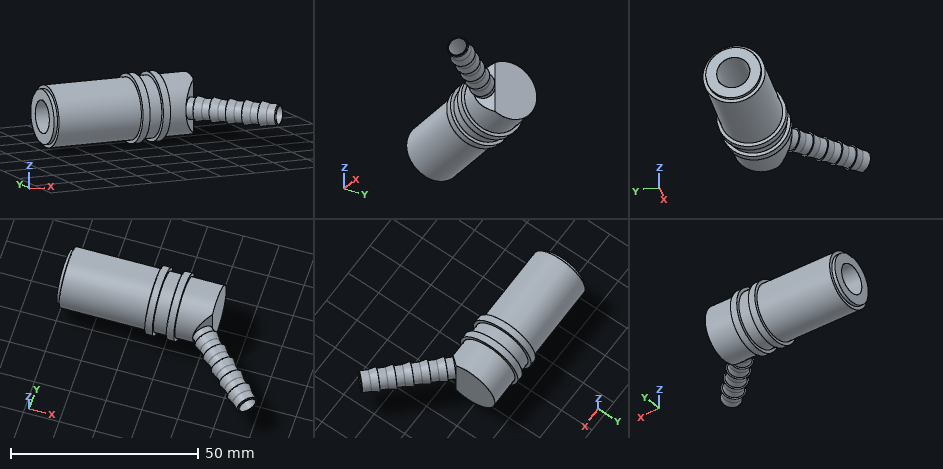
import cadquery as cq
import math

housing_length = 42.5
housing_diameter = 17.0
nose_diameter = 15.0
nose_length = 1.0

socket_diameter = 9.0
socket_depth = 25.0
passage_diameter = 5.0

barb_angle = 45.0
stem_diameter = 6.0
stem_length = 25.5
tip_chamfer = 0.25
tooth_diameter = 7.0
tooth_count = 5
tooth_pitch = 4.6
tooth_length = tooth_pitch / 2
first_tooth = 2.2

band_diameter = 19.0
band_width = 2.1
first_band = 25.2
band_pitch = 6.0
band_count = 2

housing_radius = housing_diameter / 2
barb_direction = cq.Vector(
    math.cos(math.radians(barb_angle)),
    -math.sin(math.radians(barb_angle)),
    0,
)

flat_run_x = stem_diameter * math.sin(math.radians(barb_angle))
flat_run_y = stem_diameter * math.cos(math.radians(barb_angle))
barb_base = cq.Vector(housing_length - flat_run_x / 2, -housing_radius + flat_run_y / 2, 0)

base_to_elbow = barb_base.y / barb_direction.y
elbow = barb_base - barb_direction * base_to_elbow


def x_cylinder(diameter, start, length):
    """Cylinder on the housing axis."""
    return cq.Workplane("YZ", origin=(start, 0, 0)).circle(diameter / 2).extrude(length)


def along_barb(origin):
    """Workplane square to the barb axis, its normal pointing to the barb tip."""
    return cq.Workplane(cq.Plane(origin=origin, xDir=(0, 0, 1), normal=barb_direction))


def make_shell():
    """Outer shape of the housing: nose, barrel and angled corner flat."""
    nose = x_cylinder(nose_diameter, 0, nose_length)
    barrel = x_cylinder(housing_diameter, nose_length, housing_length - nose_length)
    corner = (
        cq.Workplane("XY")
        .moveTo(housing_length, -housing_radius)
        .lineTo(housing_length, -housing_radius + flat_run_y)
        .lineTo(housing_length - flat_run_x, -housing_radius)
        .close()
        .extrude(housing_radius, both=True)
    )
    return nose.union(barrel).cut(corner)


def make_barb():
    """Stem with a row of teeth, each a sharp shoulder tapering towards the chamfered tip."""
    stem = along_barb(barb_base).circle(stem_diameter / 2).extrude(stem_length)
    tip_face = cq.NearestToPointSelector((barb_base + barb_direction * stem_length).toTuple())
    barb = stem.faces(tip_face).edges().chamfer(tip_chamfer)
    for index in range(tooth_count):
        shoulder = barb_base + barb_direction * (first_tooth + index * tooth_pitch)
        tooth = (
            along_barb(shoulder)
            .circle(tooth_diameter / 2)
            .workplane(offset=tooth_length)
            .circle(stem_diameter / 2)
            .loft()
        )
        barb = barb.union(tooth)
    return barb


def make_passage():
    """Socket and bore along the housing, mitred at the elbow into the bore of the barb."""
    socket = x_cylinder(socket_diameter, 0, socket_depth)
    overlap = passage_diameter
    straight = x_cylinder(passage_diameter, 0, elbow.x + overlap)
    angled_start = elbow - barb_direction * overlap
    angled_length = overlap + base_to_elbow + stem_length
    angled = along_barb(angled_start).circle(passage_diameter / 2).extrude(angled_length)

    mitre_normal = cq.Vector(1, 0, 0) + barb_direction
    mitre = cq.Workplane(cq.Plane(origin=elbow, xDir=(0, 0, 1), normal=mitre_normal))
    reach = housing_length + stem_length
    outlet_side = mitre.rect(2 * reach, 2 * reach).extrude(reach)
    return socket.union(straight.cut(outlet_side)).union(angled.intersect(outlet_side))


def make_band(start):
    """Ring that fits closely around the housing."""
    return (
        cq.Workplane("YZ", origin=(start, 0, 0))
        .circle(band_diameter / 2)
        .circle(housing_radius)
        .extrude(band_width)
    )


housing = make_shell().union(make_barb()).cut(make_passage())
bands = [make_band(first_band + index * band_pitch) for index in range(band_count)]

result = cq.Compound.makeCompound([housing.val(), *[band.val() for band in bands]])